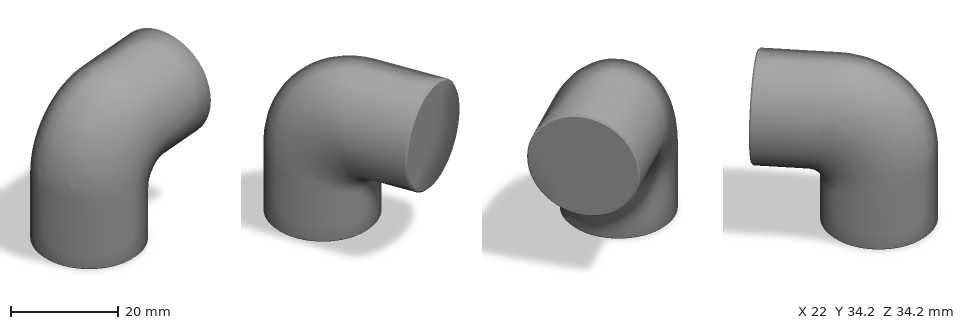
import cadquery as cq
import math

overall = 34.2
diameter = 22.0
inner_radius = 2.05
outer_radius = 18.47
end_chamfer = 0.35
bend_steps = 8

radius = diameter / 2
half = overall / 2
axis_offset = half - radius
inner_center = half - diameter - inner_radius
outer_center = half - outer_radius


def bend_point(center, bend_radius, angle):
    """Point (y, z) on a bend arc, from its top (0) to its -Y side (90 degrees)."""
    return -center - bend_radius * math.sin(angle), center + bend_radius * math.cos(angle)


def section_plane(angle):
    """Plane across the bend, and the width from the inner to the outer arc."""
    inner_y, inner_z = bend_point(inner_center, inner_radius, angle)
    outer_y, outer_z = bend_point(outer_center, outer_radius, angle)
    span_y = outer_y - inner_y
    span_z = outer_z - inner_z
    middle = (0, (inner_y + outer_y) / 2, (inner_z + outer_z) / 2)
    plane = cq.Plane(origin=middle, xDir=(0, span_y, span_z), normal=(0, -span_z, span_y))
    return plane, math.hypot(span_y, span_z)


def bend_section(angle):
    """Elliptical cross-section, as wide along X as the legs."""
    plane, width = section_plane(angle)
    return cq.Workplane(plane).ellipse(width / 2, radius).wires().val()


def leg(end_plane, angle):
    """Chamfered round leg, cut off obliquely where the bend starts."""
    blank = cq.Workplane(end_plane).circle(radius).extrude(overall)
    blank = blank.faces(cq.selectors.NearestToPointSelector(end_plane.origin.toTuple())).chamfer(end_chamfer)
    plane, _ = section_plane(angle)
    toward_end = 1 if plane.toLocalCoords(end_plane.origin).z > 0 else -1
    keep = cq.Workplane(plane).rect(3 * overall, 3 * overall).extrude(toward_end * 3 * overall)
    return blank.intersect(keep)


quarter_turn = math.pi / 2
sections = [bend_section(quarter_turn * step / bend_steps) for step in range(bend_steps + 1)]
bend = cq.Workplane(cq.Solid.makeLoft(sections))

back_end = cq.Plane(origin=(0, half, axis_offset), xDir=(1, 0, 0), normal=(0, -1, 0))
bottom_end = cq.Plane(origin=(0, -axis_offset, -half), xDir=(1, 0, 0), normal=(0, 0, 1))
result = bend.union(leg(back_end, 0)).union(leg(bottom_end, quarter_turn))